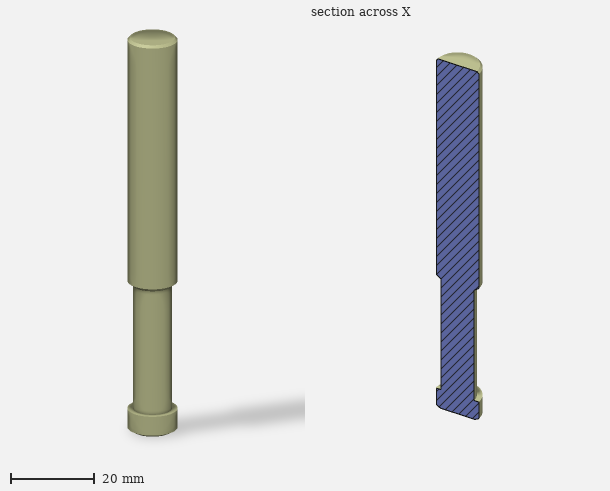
import cadquery as cq

total_length = 100.0
body_diameter = 12.0
neck_diameter = 9.3

head_height = 5.5
body_bottom = 37.0

top_inset = 0.6
top_taper_height = 0.6
shoulder_taper_height = 1.0
head_inset = 1.2
head_taper_height = 0.7

body_radius = body_diameter / 2
neck_radius = neck_diameter / 2

half_profile = [
    (0, 0),
    (body_radius - head_inset, 0),
    (body_radius, head_taper_height),
    (body_radius, head_height),
    (neck_radius, head_height),
    (neck_radius, body_bottom),
    (body_radius, body_bottom + shoulder_taper_height),
    (body_radius, total_length - top_taper_height),
    (body_radius - top_inset, total_length),
    (0, total_length),
]

result = (
    cq.Workplane("XZ")
    .polyline(half_profile)
    .close()
    .revolve(360, (0, 0, 0), (0, 1, 0))
    .translate((0, 0, -total_length / 2))
)